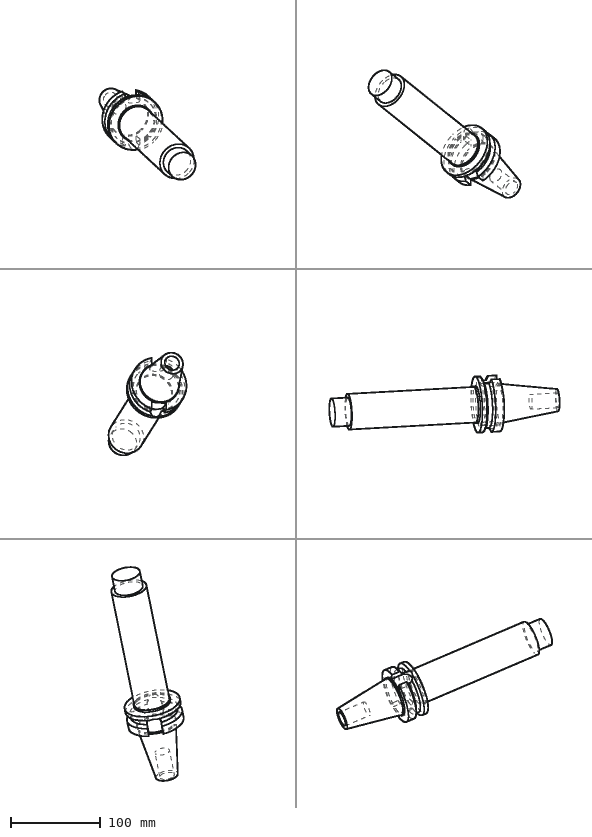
import cadquery as cq

total_length = 257.3
taper_end = 65.4
flange_start = 67.5
front_rim_end = 77.2
groove_start = 79.8
groove_end = 85.0
rear_rim_start = 87.2
flange_end = 92.4
collar_end = 94.7
body_end = 238.8

taper_small_radius = 12.5
taper_large_radius = 22.0
neck_radius = 22.6
flange_radius = 63.0 / 2
groove_radius = 26.8
collar_radius = 20.8
body_radius = 20.0
tip_radius = 16.0

bore_radius = 8.2
bore_depth = 31.0

slot_width = 16.2
slot_end = 88.0
slot_floor = 22.6


def make_turned_body():
    """Revolve the stepped half profile about the X axis."""
    profile = [
        (0, 0),
        (0, taper_small_radius),
        (taper_end, taper_large_radius),
        (taper_end, neck_radius),
        (flange_start, neck_radius),
        (flange_start, flange_radius),
        (front_rim_end, flange_radius),
        (groove_start, groove_radius),
        (groove_end, groove_radius),
        (rear_rim_start, flange_radius),
        (flange_end, flange_radius),
        (flange_end, collar_radius),
        (collar_end, collar_radius),
        (collar_end, body_radius),
        (body_end, body_radius),
        (body_end, tip_radius),
        (total_length, tip_radius),
        (total_length, 0),
    ]
    return cq.Workplane("XY").polyline(profile).close().revolve(360, (0, 0, 0), (1, 0, 0))


def make_bore():
    return cq.Workplane("YZ").circle(bore_radius).extrude(bore_depth)


def make_drive_slot():
    """Cutter for the upper slot: open toward the taper, rounded at its closed end."""
    half_width = slot_width / 2
    arc_start = slot_end - half_width
    return (
        cq.Workplane("XY", origin=(0, 0, slot_floor))
        .moveTo(flange_start, -half_width)
        .lineTo(arc_start, -half_width)
        .threePointArc((slot_end, 0), (arc_start, half_width))
        .lineTo(flange_start, half_width)
        .close()
        .extrude(flange_radius - slot_floor)
    )


result = make_turned_body().cut(make_bore())
for slot_angle in (0, 180):
    slot = make_drive_slot().rotate((0, 0, 0), (1, 0, 0), slot_angle)
    result = result.cut(slot)